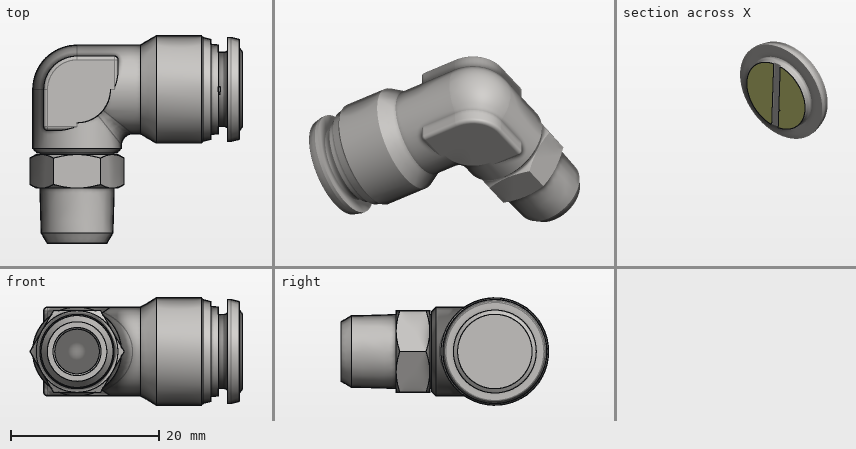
import cadquery as cq
import math


OVERALL_LENGTH = 28.65

BODY_RADIUS = 6.0
CROTCH_FILLET = 1.5
BODY_END = 8.55
BODY_CHAMFER = 0.6

PAD_RADIUS = 4.5
PAD_REACH = 5.53
PAD_FILLET = 0.52

HEX_FLATS = 11.0
HEX_START = 8.77
HEX_END = 13.3
HEX_CHAMFER_ANGLE = 30
HEX_CORNER_RADIUS = HEX_FLATS / math.sqrt(3)

SOCKET_RADIUS = 7.25
SOCKET_CONE_START = 8.55
SOCKET_CONE_END = 10.7
SOCKET_END = 16.73
RIM_START = 17.0
RIM_END = 18.02
RIM_LARGE_RADIUS = 7.0
RIM_SMALL_RADIUS = 6.73
GUIDE_END = 19.05
GUIDE_LARGE_RADIUS = 6.1

NECK_RADIUS = 5.0
NECK_FLARE_START = 19.83
FLARE_RADIUS = 5.2
FLANGE_START = 20.25
FLANGE_TAPER_START = 20.75
FLANGE_END = 21.9
FLANGE_RADIUS = 7.02
FLANGE_SMALL_RADIUS = 6.73
FLANGE_EDGE_FILLET = 0.17
LIP_RADIUS = 5.6
COLLET_END = OVERALL_LENGTH - HEX_CORNER_RADIUS
SLOT_WIDTH = 1.03
SLOT_END = 19.28
SLOT_ANGLE = 2

COLLAR_RADIUS = 5.0
THREAD_LARGE_RADIUS = 5.0
THREAD_SMALL_RADIUS = 4.85
THREAD_CHAMFER_START = 19.3
STUD_END = 20.75
STUD_TIP_RADIUS = 4
BORE_RADIUS = 3.0
BORE_CHAMFER = 0.23


def spin_about_x(profile):
    """Solid of revolution from (x, radius) points, closed along the X axis."""
    points = [(profile[0][0], 0)] + profile + [(profile[-1][0], 0)]
    return cq.Workplane("XY").polyline(points).close().revolve(360, (0, 0, 0), (1, 0, 0))


def spin_about_y(profile):
    """Solid of revolution from (distance along -Y, radius) points, closed along the Y axis."""
    points = [(0, -profile[0][0])]
    points += [(-radius, -distance) for distance, radius in profile]
    points += [(0, -profile[-1][0])]
    return cq.Workplane("XY").polyline(points).close().revolve(360, (0, 0, 0), (0, 1, 0))


def elbow():
    """Two equal cylinders joined by a sphere, chamfered on the thread arm."""
    tube_arm = spin_about_x([(0, BODY_RADIUS), (SOCKET_CONE_START, BODY_RADIUS)])
    thread_arm = spin_about_y([
        (0, BODY_RADIUS),
        (BODY_END - BODY_CHAMFER, BODY_RADIUS),
        (BODY_END, BODY_RADIUS - BODY_CHAMFER),
    ])
    return cq.Workplane("XY").sphere(BODY_RADIUS).union(tube_arm).union(thread_arm)


def pads():
    """Filleted plate over both flats of the elbow, with a sharp round towards the crotch."""
    corner = PAD_RADIUS * math.sqrt(0.5)
    plate = (
        cq.Workplane("XY").workplane(offset=-BODY_RADIUS)
        .moveTo(0, PAD_RADIUS)
        .lineTo(PAD_REACH, PAD_RADIUS)
        .lineTo(PAD_REACH, -PAD_REACH)
        .lineTo(-PAD_RADIUS, -PAD_REACH)
        .lineTo(-PAD_RADIUS, 0)
        .threePointArc((-corner, corner), (0, PAD_RADIUS))
        .close()
        .extrude(2 * BODY_RADIUS)
    )
    plate = plate.edges("(|Z and ((>X and >Y) or (<X and <Y))) or >Z or <Z").fillet(PAD_FILLET)
    crotch_quarter = (
        cq.Workplane("XY")
        .box(PAD_REACH, PAD_REACH, 2 * BODY_RADIUS, centered=(False, False, True))
        .translate((0, -PAD_REACH, 0))
    )
    crotch_round = cq.Workplane("XY").circle(PAD_RADIUS).extrude(BODY_RADIUS, both=True)
    return plate.cut(crotch_quarter).union(crotch_quarter.intersect(crotch_round))


def crotch_fillet(body):
    """Round the seam where the two arms meet, between the pads."""
    seam = cq.selectors.BoxSelector(
        (PAD_RADIUS, -PAD_RADIUS, -BODY_RADIUS),
        (BODY_RADIUS, -BODY_RADIUS, BODY_RADIUS),
    )
    return body.edges(seam).fillet(CROTCH_FILLET)


def socket():
    """Coned sleeve with a tapered rim and guide ring at its open end."""
    return spin_about_x([
        (SOCKET_CONE_START, BODY_RADIUS),
        (SOCKET_CONE_END, SOCKET_RADIUS),
        (SOCKET_END, SOCKET_RADIUS),
        (RIM_START, RIM_LARGE_RADIUS),
        (RIM_END, RIM_SMALL_RADIUS),
        (RIM_END, GUIDE_LARGE_RADIUS),
        (GUIDE_END, BODY_RADIUS),
    ])


def collet():
    """Flanged release ring with a flared neck and a slot clear across it."""
    ring = (
        cq.Workplane("XY")
        .moveTo(GUIDE_END, 0)
        .lineTo(GUIDE_END, NECK_RADIUS)
        .lineTo(NECK_FLARE_START, NECK_RADIUS)
        .tangentArcPoint((FLANGE_START, FLARE_RADIUS), relative=False)
        .lineTo(FLANGE_START, FLANGE_RADIUS)
        .lineTo(FLANGE_TAPER_START, FLANGE_RADIUS)
        .lineTo(FLANGE_END, FLANGE_SMALL_RADIUS)
        .lineTo(FLANGE_END, LIP_RADIUS)
        .lineTo(COLLET_END, NECK_RADIUS)
        .lineTo(COLLET_END, 0)
        .close()
        .revolve(360, (0, 0, 0), (1, 0, 0))
    )
    behind_flange_end = (FLANGE_END - FLANGE_EDGE_FILLET, -SOCKET_RADIUS, -SOCKET_RADIUS)
    beyond_flange_end = (FLANGE_END + FLANGE_EDGE_FILLET, SOCKET_RADIUS, SOCKET_RADIUS)
    flange_end_edges = cq.selectors.BoxSelector(behind_flange_end, beyond_flange_end, boundingbox=True)
    outermost = cq.selectors.RadiusNthSelector(-1)
    ring = ring.edges(flange_end_edges).edges(outermost).fillet(FLANGE_EDGE_FILLET)
    slot = (
        cq.Workplane("XY")
        .box(SLOT_END - GUIDE_END, SLOT_WIDTH, 2 * SOCKET_RADIUS, centered=(False, True, True))
        .translate((GUIDE_END, 0, 0))
        .rotate((0, 0, 0), (1, 0, 0), SLOT_ANGLE)
    )
    return ring.cut(slot)


def hexagon():
    """Hexagon with its corners chamfered by a cone at both ends."""
    flat_radius = HEX_FLATS / 2
    chamfer = (HEX_CORNER_RADIUS - flat_radius) * math.tan(math.radians(HEX_CHAMFER_ANGLE))
    prism = (
        cq.Workplane("XZ").workplane(offset=HEX_START)
        .polygon(6, 2 * HEX_CORNER_RADIUS)
        .extrude(HEX_END - HEX_START)
    )
    envelope = spin_about_y([
        (HEX_START, flat_radius),
        (HEX_START + chamfer, HEX_CORNER_RADIUS),
        (HEX_END - chamfer, HEX_CORNER_RADIUS),
        (HEX_END, flat_radius),
    ])
    return prism.intersect(envelope)


def stud():
    """Collar, hexagon and tapered thread."""
    collar = spin_about_y([(BODY_END, COLLAR_RADIUS), (HEX_START, COLLAR_RADIUS)])
    thread = spin_about_y([
        (HEX_END, THREAD_LARGE_RADIUS),
        (THREAD_CHAMFER_START, THREAD_SMALL_RADIUS),
        (STUD_END, STUD_TIP_RADIUS),
    ])
    return collar.union(hexagon()).union(thread)


def stud_bore():
    """Blind bore along the whole stud, with a chamfered mouth."""
    return spin_about_y([
        (BODY_END, BORE_RADIUS),
        (STUD_END - BORE_CHAMFER, BORE_RADIUS),
        (STUD_END, BORE_RADIUS + BORE_CHAMFER),
    ])


body = crotch_fillet(elbow().union(pads()))
result = body.union(socket()).union(collet()).union(stud()).cut(stud_bore())